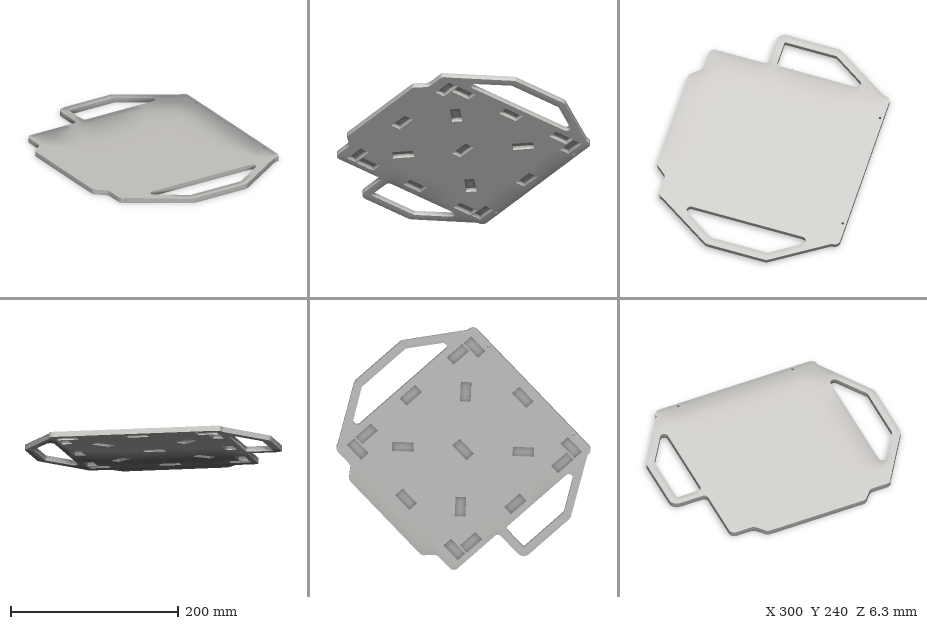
import cadquery as cq

LENGTH = 300.0
DEPTH = 240.0
THICKNESS = 6.3
HALF_LENGTH = LENGTH / 2
BACK_Y = DEPTH / 2
TAB_FRONT_Y = -DEPTH / 2

BODY_HALF_WIDTH = 105.5
BODY_FRONT_Y = -106.0
BODY_CORNER_RADIUS = 7.0

TAB_ROOT_HALF_WIDTH = 76.2
TAB_TIP_HALF_WIDTH = 64.2
TAB_ROOT_RADIUS = 8.5
TAB_TIP_RADIUS = 7.0

HANDLE_BAND = 10.2
HANDLE_BACK_Y = 111.3
HANDLE_FRONT_Y = -100.2
GRIP_BACK_Y = 43.2
GRIP_FRONT_Y = -32.5
GRIP_RADIUS = 10.0
LEFT_HANDLE_FRONT_Y = -33.5
LEFT_HANDLE_CORNER_RADIUS = 10.0
HANDLE_ROOT_RADIUS = 5.0

OPENING_OUTER_X = HALF_LENGTH - HANDLE_BAND
OPENING_INNER_X = 106.8
OPENING_GRIP_BACK_Y = 41.7
OPENING_GRIP_FRONT_Y = -29.7
OPENING_BACK_Y = 91.5
OPENING_FRONT_Y = -79.0
OPENING_RADIUS = 4.8
OPENING_SMALL_RADIUS = 1.5

HOLE_DIAMETER = 3.0
HOLE_X = 75.0
HOLE_Y = 115.8

POCKET_LENGTH = 25.5
POCKET_WIDTH = 12.5
SKIN = 0.65
POCKET_DEPTH = THICKNESS - SKIN
SIDE_POCKET_X = 92.5
POCKET_CENTER_Y = 6.3
BACK_POCKET_Y = POCKET_CENTER_Y + 97.0
FRONT_POCKET_Y = POCKET_CENTER_Y - 92.5
CORNER_POCKET_X = 85.5
CORNER_POCKET_STEP = 20.7
DIAGONAL_POCKET_OFFSET = 51.0
ALONG_X = 0
ALONG_Y = 90
DIAGONAL_ANGLE = 45


def round_corner(solid, x, y, radius):
    """Round the upright edge nearest to (x, y)."""
    corner_edge = cq.selectors.NearestToPointSelector((x, y, THICKNESS / 2))
    return solid.edges("|Z").edges(corner_edge).fillet(radius)


def rounded_prism(corners):
    """Extrude the polygon of (x, y, radius) corners and round each corner that has a radius."""
    prism = cq.Workplane("XY").polyline([(x, y) for x, y, _ in corners]).close().extrude(THICKNESS)
    for x, y, radius in corners:
        if radius > 0:
            prism = round_corner(prism, x, y, radius)
    return prism


def body():
    return rounded_prism([
        (-BODY_HALF_WIDTH, BACK_Y, BODY_CORNER_RADIUS),
        (BODY_HALF_WIDTH, BACK_Y, BODY_CORNER_RADIUS),
        (BODY_HALF_WIDTH, BODY_FRONT_Y, BODY_CORNER_RADIUS),
        (TAB_ROOT_HALF_WIDTH, BODY_FRONT_Y, TAB_ROOT_RADIUS),
        (TAB_TIP_HALF_WIDTH, TAB_FRONT_Y, TAB_TIP_RADIUS),
        (-TAB_TIP_HALF_WIDTH, TAB_FRONT_Y, TAB_TIP_RADIUS),
        (-TAB_ROOT_HALF_WIDTH, BODY_FRONT_Y, TAB_ROOT_RADIUS),
        (-BODY_HALF_WIDTH, BODY_FRONT_Y, BODY_CORNER_RADIUS),
    ])


def right_handle():
    """Handle outline with two sloping sides, carried on into the body."""
    return rounded_prism([
        (0, HANDLE_BACK_Y, 0),
        (BODY_HALF_WIDTH, HANDLE_BACK_Y, 0),
        (HALF_LENGTH, GRIP_BACK_Y, GRIP_RADIUS),
        (HALF_LENGTH, GRIP_FRONT_Y, GRIP_RADIUS),
        (BODY_HALF_WIDTH, HANDLE_FRONT_Y, 0),
        (0, HANDLE_FRONT_Y, 0),
    ])


def left_handle():
    """Handle outline with a sloping back side and a square front side, carried on into the body."""
    return rounded_prism([
        (0, HANDLE_BACK_Y, 0),
        (-BODY_HALF_WIDTH, HANDLE_BACK_Y, 0),
        (-HALF_LENGTH, GRIP_BACK_Y, GRIP_RADIUS),
        (-HALF_LENGTH, LEFT_HANDLE_FRONT_Y, LEFT_HANDLE_CORNER_RADIUS),
        (0, LEFT_HANDLE_FRONT_Y, 0),
    ])


def plate_blank():
    blank = body().union(right_handle()).union(left_handle())
    for x, y in (
        (-BODY_HALF_WIDTH, HANDLE_BACK_Y),
        (BODY_HALF_WIDTH, HANDLE_BACK_Y),
        (-BODY_HALF_WIDTH, LEFT_HANDLE_FRONT_Y),
    ):
        blank = round_corner(blank, x, y, HANDLE_ROOT_RADIUS)
    return blank


def right_opening():
    return rounded_prism([
        (OPENING_INNER_X, OPENING_BACK_Y, OPENING_RADIUS),
        (OPENING_OUTER_X, OPENING_GRIP_BACK_Y, 0),
        (OPENING_OUTER_X, OPENING_GRIP_FRONT_Y, 0),
        (OPENING_INNER_X, OPENING_FRONT_Y, OPENING_RADIUS),
    ])


def left_opening():
    front_y = LEFT_HANDLE_FRONT_Y + HANDLE_BAND
    return rounded_prism([
        (-OPENING_INNER_X, OPENING_BACK_Y, OPENING_RADIUS),
        (-OPENING_OUTER_X, OPENING_GRIP_BACK_Y, 0),
        (-OPENING_OUTER_X, front_y, OPENING_SMALL_RADIUS),
        (-OPENING_INNER_X, front_y, OPENING_RADIUS),
    ])


def hanging_holes():
    return (
        cq.Workplane("XY")
        .pushPoints([(-HOLE_X, HOLE_Y), (HOLE_X, HOLE_Y)])
        .circle(HOLE_DIAMETER / 2)
        .extrude(THICKNESS)
    )


def pocket(x, y, angle):
    """Pocket whose long side is turned by the angle from the X axis."""
    block = cq.Workplane("XY").box(POCKET_LENGTH, POCKET_WIDTH, POCKET_DEPTH, centered=(True, True, False))
    return block.rotate((0, 0, 0), (0, 0, 1), angle).translate((x, y, 0))


def pocket_places():
    """List of (x, y, angle): the middle, the four sides, the diagonals and a pair in each corner."""
    places = [
        (0, POCKET_CENTER_Y, ALONG_X),
        (0, BACK_POCKET_Y, ALONG_X),
        (0, FRONT_POCKET_Y, ALONG_X),
    ]
    for side in (-1, 1):
        places.append((side * SIDE_POCKET_X, POCKET_CENTER_Y, ALONG_Y))
        for end, row_y in ((1, BACK_POCKET_Y), (-1, FRONT_POCKET_Y)):
            diagonal_y = POCKET_CENTER_Y + end * DIAGONAL_POCKET_OFFSET
            places.append((side * DIAGONAL_POCKET_OFFSET, diagonal_y, side * end * DIAGONAL_ANGLE))
            places.append((side * CORNER_POCKET_X, row_y, ALONG_X))
            places.append((side * SIDE_POCKET_X, row_y - end * CORNER_POCKET_STEP, ALONG_Y))
    return places


result = plate_blank().cut(left_opening()).cut(right_opening()).cut(hanging_holes())
for place in pocket_places():
    result = result.cut(pocket(*place))